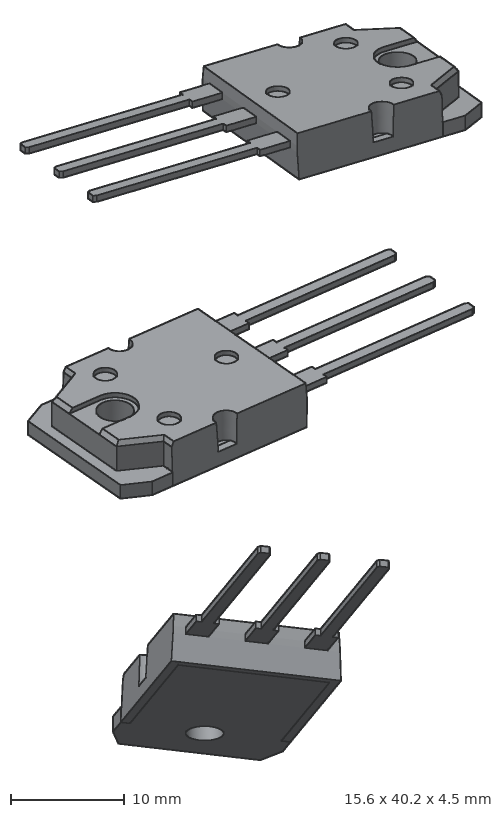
import cadquery as cq


total_length = 40.2
package_width = 15.6
package_height = 4.5

tab_end_y = 20.0
tab_thickness = 1.45
tab_corner_x = 1.3
tab_corner_y = 2.55
tab_inset = 0.85
mounting_hole_diameter = 3.35
mounting_hole_y = 15.45

shoulder_y = 15.15
shoulder_half_width = 6.47
rear_y = 18.9
rear_half_width = 4.55
side_draft = 0.2
bevel_height = 0.5
rear_bevel = 0.35
shoulder_bevel = 0.25
rear_corner_bevel = 0.15
front_draft_bottom = 0.12
front_draft_top = 0.1

relief_width = 4.22
dimple_diameter = 2.1
dimple_depth = 0.5
rear_dimple_x = 4.5
rear_dimple_y = 12.95
front_dimple_y = 2.95
notch_x = 7.5
notch_y = 8.95
notch_top_radius = 1.15
notch_bottom_radius = 1.05

lead_pitch = 5.45
lead_thickness = 0.65
lead_bottom_z = 2.65
lead_wide_width = 2.1
lead_wide_length = 3.15
lead_narrow_width = 1.13
lead_tip_x = 0.15
lead_tip_y = 0.32

half_width = package_width / 2
lead_top_z = lead_bottom_z + lead_thickness
lead_length = total_length - tab_end_y


def mirrored_outline(right_side, z=0):
    """Closed outline from the points of its right half and their mirror images."""
    left_side = [(-x, y) for x, y in reversed(right_side)]
    return cq.Workplane("XY").workplane(offset=z).polyline(right_side + left_side).close()


def make_tab():
    """Plate that is narrower where it lies inside the housing."""
    embedded_half_width = half_width - tab_inset
    outline = [
        (embedded_half_width, tab_inset),
        (embedded_half_width, shoulder_y),
        (half_width, shoulder_y),
        (half_width, tab_end_y - tab_corner_y),
        (half_width - tab_corner_x, tab_end_y),
    ]
    plate = mirrored_outline(outline).extrude(tab_thickness)
    hole = (
        cq.Workplane("XY").center(0, mounting_hole_y)
        .circle(mounting_hole_diameter / 2).extrude(tab_thickness)
    )
    return plate.cut(hole)


def housing_outline(shoulder_half, shoulder, rear_half, rear, z=0):
    return mirrored_outline(
        [
            (half_width, 0),
            (half_width, shoulder),
            (shoulder_half, shoulder),
            (rear_half, rear),
        ],
        z,
    )


def make_housing_block():
    """Housing with a bevelled rear top edge and drafted sides and front."""
    bevel_z = package_height - bevel_height
    block = housing_outline(shoulder_half_width, shoulder_y, rear_half_width, rear_y).extrude(bevel_z)

    top_shoulder_y = shoulder_y - shoulder_bevel
    top_rear_y = rear_y - rear_bevel
    top_rear_half = rear_half_width - rear_corner_bevel
    slant = (shoulder_half_width - rear_half_width) / (rear_y - shoulder_y)
    top_shoulder_half = top_rear_half + slant * (top_rear_y - top_shoulder_y)
    lower = housing_outline(shoulder_half_width, shoulder_y, rear_half_width, rear_y, bevel_z)
    upper = housing_outline(top_shoulder_half, top_shoulder_y, top_rear_half, top_rear_y, package_height)
    cap = cq.Solid.makeLoft([lower.wire().val(), upper.wire().val()], True)

    top_half_width = half_width - side_draft
    side_envelope = (
        cq.Workplane("XZ")
        .polyline([
            (-half_width, 0),
            (half_width, 0),
            (top_half_width, package_height),
            (-top_half_width, package_height),
        ])
        .close().extrude(-rear_y)
    )
    front_envelope = (
        cq.Workplane("YZ")
        .polyline([
            (front_draft_bottom, 0),
            (0, lead_bottom_z),
            (0, lead_top_z),
            (front_draft_top, package_height),
            (rear_y, package_height),
            (rear_y, 0),
        ])
        .close().extrude(half_width, both=True)
    )
    return block.union(cap).intersect(side_envelope).intersect(front_envelope)


def make_hole_relief():
    """Shallow slot around the mounting hole, open at the rear, and the hole itself."""
    floor_z = package_height - bevel_height
    run_out = rear_y - mounting_hole_y
    top = cq.Workplane("XY").workplane(offset=floor_z).center(0, mounting_hole_y)
    round_end = top.circle(relief_width / 2).extrude(bevel_height)
    straight = top.center(0, run_out / 2).rect(relief_width, run_out).extrude(bevel_height)
    hole = (
        cq.Workplane("XY").center(0, mounting_hole_y)
        .circle(mounting_hole_diameter / 2).extrude(package_height)
    )
    return round_end.union(straight).union(hole)


def make_dimples():
    return (
        cq.Workplane("XY").workplane(offset=package_height - dimple_depth)
        .pushPoints([
            (-rear_dimple_x, rear_dimple_y),
            (rear_dimple_x, rear_dimple_y),
            (0, front_dimple_y),
        ])
        .circle(dimple_diameter / 2).extrude(dimple_depth)
    )


def make_side_notch(side):
    """Tapered half-round notch that reaches down to the top of the tab."""
    return cq.Workplane(
        cq.Solid.makeCone(
            notch_bottom_radius,
            notch_top_radius,
            package_height - tab_thickness,
            pnt=cq.Vector(side * notch_x, notch_y, tab_thickness),
        )
    )


def make_housing(tab):
    housing = make_housing_block().cut(make_hole_relief()).cut(make_dimples())
    for side in (-1, 1):
        housing = housing.cut(make_side_notch(side))
    return housing.cut(tab)


def make_lead(x):
    """Flat lead with a wide root and a narrow, tapered end."""
    wide_half = lead_wide_width / 2
    narrow_half = lead_narrow_width / 2
    outline = [
        (wide_half, 0),
        (wide_half, -lead_wide_length),
        (narrow_half, -lead_wide_length),
        (narrow_half, lead_tip_y - lead_length),
        (narrow_half - lead_tip_x, -lead_length),
    ]
    return mirrored_outline(outline, lead_bottom_z).extrude(lead_thickness).translate((x, 0, 0))


tab = make_tab()
housing = make_housing(tab)
leads = [make_lead(index * lead_pitch) for index in (-1, 0, 1)]

result = cq.Compound.makeCompound([
    housing.solids().val(),
    tab.solids().val(),
    *[lead.val() for lead in leads],
])